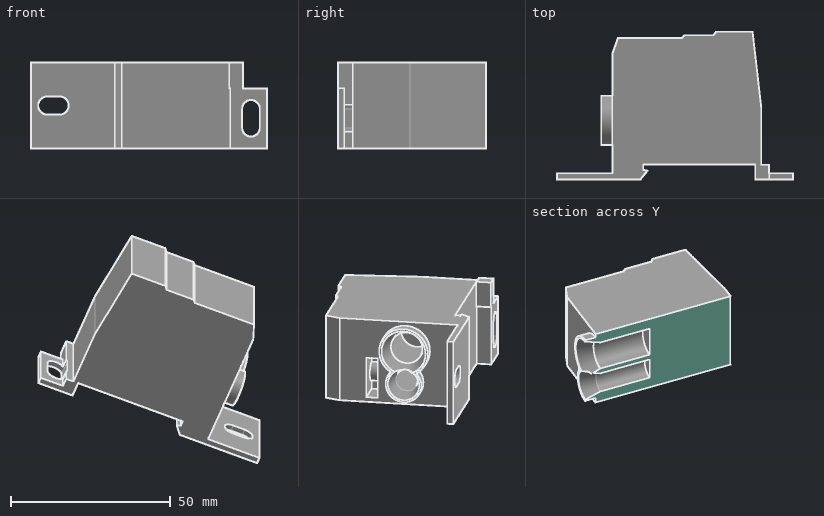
import cadquery as cq

length = 73.8
depth = 46.3
height = 27.0

tab_thickness = 2.0
right_tab_height = 18.9

body_left = 17.35
body_right = 63.9
left_chamfer_width = 1.7
left_chamfer_length = 4.8
low_top = depth - 2.0
middle_top = depth - 1.1
first_step = (39.05, 39.9)
second_step = (48.9, 49.8)
back_corner = 61.2
slope_start = 22.4

recess_depth = 4.65
recess_left = 27.0
foot_left = 61.9
foot_right = 66.35
foot_relief = 0.4
hook_base = 26.1
hook_tip = (28.35, 2.8)
hook_top = 3.0

entry_y = 18.5
entry_face = 13.8
funnel_depth = 5.2
bore_depth = 22.15
large_entry = (18.0, 7.75, 7.0, 5.0)
small_entry = (7.45, 5.7, 5.0, 3.5)

pocket_y = (27.45, 31.1)
pocket_z = (1.55, 14.5)
pocket_depth = 8.85
bar_radius = 3.0
bar_z = 7.4

left_slot = (7.0, 13.5, 9.45, 5.6)
right_slot = (68.8, 9.5, 5.45, 11.4)


def box(x_range, y_range, z_range):
    """Box spanning the given X, Y and Z ranges."""
    sizes = [end - start for start, end in (x_range, y_range, z_range)]
    corner = (x_range[0], y_range[0], z_range[0])
    return cq.Workplane("XY").box(*sizes, centered=False).translate(corner)


def make_housing():
    """Extruded housing with the left tab, the hook and the foot."""
    outline = [
        (0, 0),
        (hook_base, 0),
        hook_tip,
        (recess_left, hook_top),
        (recess_left, recess_depth),
        (foot_left, recess_depth),
        (foot_left, 0),
        (foot_right, 0),
        (foot_right, recess_depth),
        (body_right, recess_depth),
        (body_right, slope_start),
        (back_corner, depth),
        (second_step[1], depth),
        (second_step[0], middle_top),
        (first_step[1], middle_top),
        (first_step[0], low_top),
        (body_left + left_chamfer_width, low_top),
        (body_left, low_top - left_chamfer_length),
        (body_left, tab_thickness),
        (0, tab_thickness),
    ]
    return cq.Workplane("XY").polyline(outline).close().extrude(height)


def x_cylinder(radius, z, x_start, x_length):
    """Cylinder along +X on the wire entry line."""
    start = cq.Vector(x_start, entry_y, z)
    return cq.Workplane(cq.Solid.makeCylinder(radius, x_length, start, cq.Vector(1, 0, 0)))


def make_collar(entry):
    """Round collar standing out of the left side."""
    z, collar_radius = entry[:2]
    return x_cylinder(collar_radius, z, entry_face, body_left - entry_face)


def make_entry_hole(entry):
    """Funnel narrowing into a blind bore."""
    z, _, mouth_radius, bore_radius = entry
    mouth = cq.Vector(entry_face, entry_y, z)
    funnel = cq.Solid.makeCone(mouth_radius, bore_radius, funnel_depth, mouth, cq.Vector(1, 0, 0))
    bore = x_cylinder(bore_radius, z, entry_face + funnel_depth, bore_depth - funnel_depth)
    return bore.union(cq.Workplane(funnel))


def make_pocket():
    """Pocket cutter that leaves a half-round bar along Y on the pocket floor."""
    floor_x = body_left + pocket_depth
    pocket = box((body_left, floor_x), pocket_y, pocket_z)
    bar_plane = cq.Plane((floor_x, pocket_y[0], bar_z), xDir=(-1, 0, 0), normal=(0, 1, 0))
    bar = cq.Workplane(bar_plane).circle(bar_radius).extrude(pocket_y[1] - pocket_y[0])
    return pocket.cut(bar)


def make_slot(slot):
    """Slot cutter along Y with full-round ends, deep enough for the tabs and the foot."""
    x, z, size_x, size_z = slot
    angle = 0 if size_x > size_z else 90
    profile = cq.Workplane("XZ").center(x, z).slot2D(max(size_x, size_z), min(size_x, size_z), angle)
    return profile.extrude(-recess_depth)


result = make_housing()

result = result.union(box((foot_right, length), (0, tab_thickness), (0, right_tab_height)))
result = result.cut(
    box((foot_left, foot_left + foot_relief), (0, recess_depth), (0, right_tab_height))
)

entries = (large_entry, small_entry)
for entry in entries:
    result = result.union(make_collar(entry))
for entry in entries:
    result = result.cut(make_entry_hole(entry))

result = result.cut(make_pocket())

for slot in (left_slot, right_slot):
    result = result.cut(make_slot(slot))